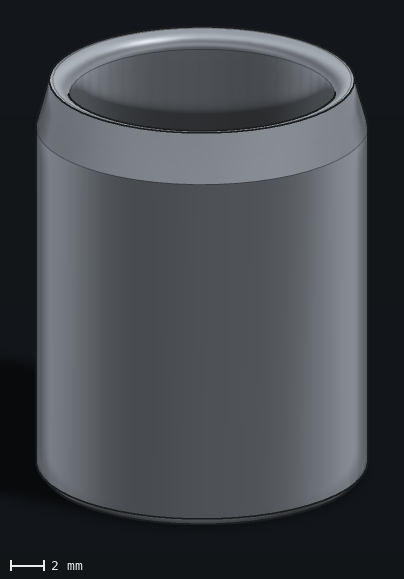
import cadquery as cq
import math

height = 25.0
outer_radius = 20.0 / 2
bore_radius = 16.0 / 2

taper_height = 3.0
taper_angle = 15.0
top_radius = outer_radius - taper_height * math.tan(math.radians(taper_angle))

chamfer_height = 0.5
chamfer_width = 0.4

mouth_round = 1.0
mouth_radius = bore_radius + mouth_round
mouth_start = height - mouth_round
mouth_mid = (
    mouth_radius - mouth_round * math.cos(math.pi / 4),
    mouth_start + mouth_round * math.sin(math.pi / 4),
)

wall_section = (
    cq.Workplane("XZ")
    .moveTo(bore_radius, 0)
    .lineTo(outer_radius - chamfer_width, 0)
    .lineTo(outer_radius, chamfer_height)
    .lineTo(outer_radius, height - taper_height)
    .lineTo(top_radius, height)
    .lineTo(mouth_radius, height)
    .threePointArc(mouth_mid, (bore_radius, mouth_start))
    .close()
)

result = wall_section.revolve(360, (0, 0, 0), (0, 1, 0))